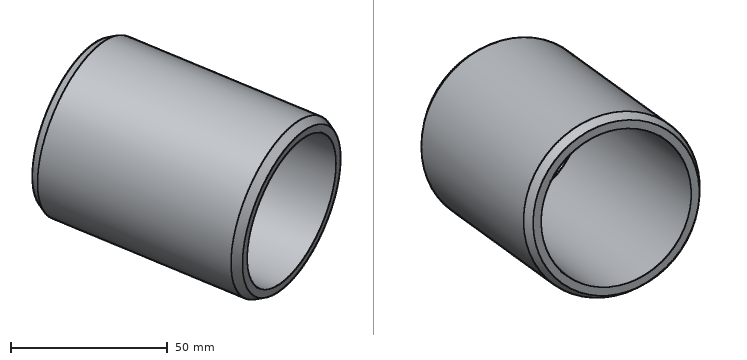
import cadquery as cq
import math

length = 79.0
outer_diameter = 63.0
bore_diameter = 53.6
chamfer_length = 3.15
chamfer_angle = 30.0

outer_radius = outer_diameter / 2
bore_radius = bore_diameter / 2
chamfer_depth = chamfer_length * math.tan(math.radians(chamfer_angle))
end_radius = outer_radius - chamfer_depth
half_length = length / 2
chamfer_start = half_length - chamfer_length

wall_section = (
    cq.Workplane("XY")
    .moveTo(-half_length, bore_radius)
    .lineTo(-half_length, end_radius)
    .lineTo(-chamfer_start, outer_radius)
    .lineTo(chamfer_start, outer_radius)
    .lineTo(half_length, end_radius)
    .lineTo(half_length, bore_radius)
    .close()
)

result = wall_section.revolve(360, (0, 0, 0), (1, 0, 0))